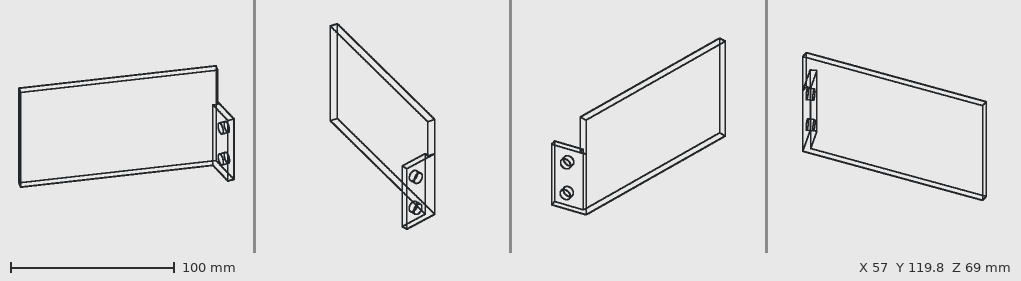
import cadquery as cq
import math

overall_x = 57.0
overall_y = 119.8
plate_height = 69.0
plate_thickness = 5.0
plate_tilt = 15.6
tab_thickness = 4.2
tab_height = 44.1
hole_diameter = 7.0
hole_edge_distance = 9.5
upper_hole_inset = 0.2
lower_hole_z = 10.3
hole_spacing = 22.4

tilt = math.radians(plate_tilt)
plate_length = (overall_y - plate_thickness * math.sin(tilt)) / math.cos(tilt)
tab_end_x = overall_x - plate_length * math.sin(tilt)


def make_plate():
    """Upright rectangular plate, swung about its back outer corner."""
    plate = cq.Workplane("XY").box(
        plate_thickness, plate_length, plate_height, centered=False
    )
    plate = plate.translate((0, -plate_length, 0))
    return plate.rotate((0, 0, 0), (0, 0, 1), -plate_tilt)


def make_tab():
    """Mounting tab along X, starting at the back outer corner of the plate."""
    outline = [
        (0, 0),
        (tab_end_x, 0),
        (tab_end_x, -tab_thickness),
        (-tab_thickness * math.tan(tilt), -tab_thickness),
    ]
    return cq.Workplane("XY").polyline(outline).close().extrude(tab_height)


def make_tab_holes():
    """Two cylinders along Y that cut through the tab."""
    lower_x = tab_end_x - hole_edge_distance
    centres = [
        (lower_x, lower_hole_z),
        (lower_x - upper_hole_inset, lower_hole_z + hole_spacing),
    ]
    return (
        cq.Workplane("XZ")
        .pushPoints(centres)
        .circle(hole_diameter / 2)
        .extrude(tab_thickness)
    )


result = make_plate().union(make_tab()).cut(make_tab_holes())